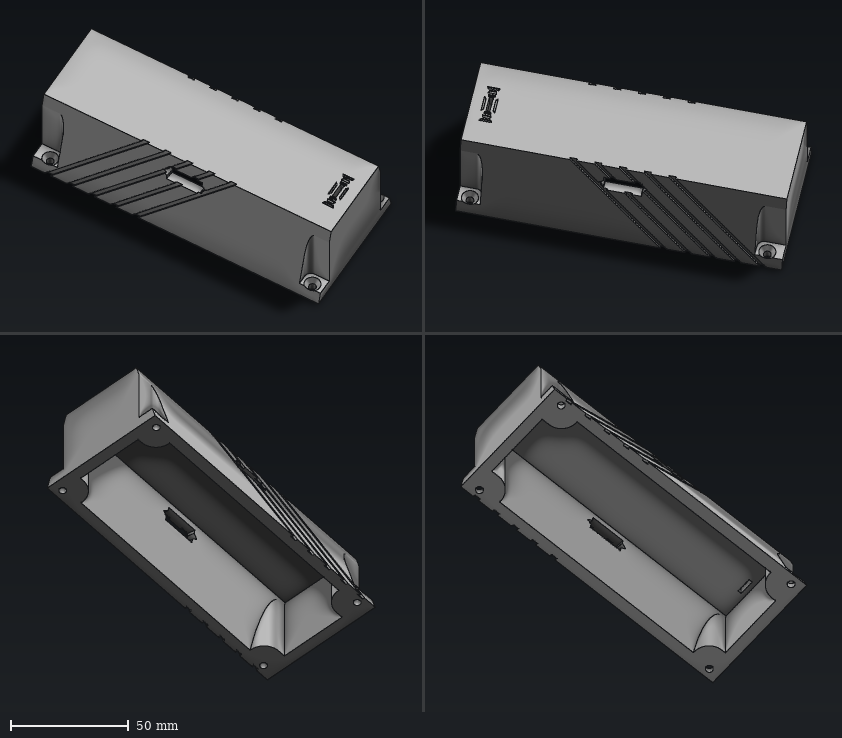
import cadquery as cq
import math

LENGTH = 141.5
BASE_WIDTH = 61.0
TOP_WIDTH = 39.8
HEIGHT = 40.0
WALL = 5.2

NOTCH_FLOOR = 6.0
NOTCH_WALL_Y = 21.5
NOTCH_RADIUS = 3.1
HOLE_TO_NOTCH_END = 5.0
LEFT_HOLE_INSET = 7.1
RIGHT_HOLE_INSET = 5.4
HOLE_Y = 26.5
HOLE_DIAMETER = 3.3
SINK_DIAMETER = 7.2
SINK_ANGLE = 90.0

GROOVE_COUNT = 5
GROOVE_PITCH = 10.8
GROOVE_WIDTH = 2.0
GROOVE_DEPTH = 1.0
GROOVE_ANGLE = 45.0
LAST_GROOVE_TOP_X = 22.0

WINDOW_HALF_LENGTH = 8.3
WINDOW_TIP_X = 10.5
WINDOW_HEIGHT = 6.8
WINDOW_TIP_HEIGHT = 3.4
WINDOW_CENTRE_Z = 30.1

SLOT_X = 62.5
SLOT_WIDTH = 1.7
SLOT_LENGTH = 7.1
RECESS_DEPTH = 0.5
SIDE_RECESS = (2.1, 3.0, 2.5, 3.5)
END_RECESSES = (
    (4.0, 4.8, 1.4, 1.4),
    (5.7, 7.0, 1.8, 1.4),
    (7.6, 8.6, 2.1, 2.7),
)

LEAN = math.atan((BASE_WIDTH - TOP_WIDTH) / 2 / HEIGHT)
SLANT_HEIGHT = HEIGHT / math.cos(LEAN)
WALL_ACROSS = WALL / math.cos(LEAN)
END_X = LENGTH / 2
SIDE_Y = BASE_WIDTH / 2
HOLE_SPOTS = (
    (-1, LEFT_HOLE_INSET),
    (1, RIGHT_HOLE_INSET),
)


def half_width(z):
    return SIDE_Y - z * math.tan(LEAN)


def trapezoid_bar(length, bottom_half, top_half, height):
    profile = [(-bottom_half, 0), (bottom_half, 0), (top_half, height), (-top_half, height)]
    return cq.Workplane("YZ").polyline(profile).close().extrude(length / 2, both=True)


def corner_block(end, side, depth, inner_y, bottom, top, radius):
    """Upright block filling one corner, with its inner vertical edge rounded."""
    width = SIDE_Y - inner_y
    block = (
        cq.Workplane("XY")
        .box(depth, width, top - bottom, centered=(True, True, False))
        .edges("|Z and <X and <Y")
        .fillet(radius)
        .translate((END_X - depth / 2, inner_y + width / 2, bottom))
    )
    if end < 0:
        block = block.mirror("YZ")
    if side < 0:
        block = block.mirror("XZ")
    return block


def side_plane():
    """Plane on the leaning -Y side: origin at the base, local y up the slope, normal outward."""
    normal = (0, -math.cos(LEAN), math.sin(LEAN))
    return cq.Plane(origin=(0, -SIDE_Y, 0), xDir=(1, 0, 0), normal=normal)


def cut_both_sides(body, cutter):
    return body.cut(cutter).cut(cutter.mirror("XZ"))


def make_shell():
    shell = trapezoid_bar(LENGTH, SIDE_Y, TOP_WIDTH / 2, HEIGHT)
    roof_z = HEIGHT - WALL
    cavity = trapezoid_bar(
        LENGTH - 2 * WALL,
        SIDE_Y - WALL_ACROSS,
        half_width(roof_z) - WALL_ACROSS,
        roof_z,
    )
    for end, inset in HOLE_SPOTS:
        depth = inset + HOLE_TO_NOTCH_END + WALL
        for side in (-1, 1):
            post = corner_block(end, side, depth, NOTCH_WALL_Y - WALL, 0, HEIGHT, NOTCH_RADIUS + WALL)
            cavity = cavity.cut(post)
    return shell.cut(cavity)


def cut_corners(body):
    for end, inset in HOLE_SPOTS:
        depth = inset + HOLE_TO_NOTCH_END
        for side in (-1, 1):
            notch = corner_block(
                end, side, depth, NOTCH_WALL_Y, NOTCH_FLOOR, HEIGHT, NOTCH_RADIUS
            )
            body = body.cut(notch)
        hole_x = end * (END_X - inset)
        body = (
            body.copyWorkplane(cq.Workplane("XY", origin=(hole_x, 0, NOTCH_FLOOR)))
            .pushPoints([(0, -HOLE_Y), (0, HOLE_Y)])
            .cskHole(HOLE_DIAMETER, SINK_DIAMETER, SINK_ANGLE, NOTCH_FLOOR)
        )
    return body


def cut_grooves(body):
    angle = math.radians(GROOVE_ANGLE)
    middle_shift = SLANT_HEIGHT / 2 / math.tan(angle)
    groove_length = SLANT_HEIGHT / math.sin(angle) + 4 * GROOVE_WIDTH
    centres = [
        (LAST_GROOVE_TOP_X - middle_shift - i * GROOVE_PITCH, SLANT_HEIGHT / 2)
        for i in range(GROOVE_COUNT)
    ]
    grooves = (
        cq.Workplane(side_plane())
        .pushPoints(centres)
        .slot2D(groove_length, GROOVE_WIDTH, GROOVE_ANGLE)
        .extrude(-GROOVE_DEPTH)
    )
    return cut_both_sides(body, grooves)


def cut_windows(body):
    half_height = WINDOW_HEIGHT / 2
    tip_half = WINDOW_TIP_HEIGHT / 2
    right_side = [
        (WINDOW_HALF_LENGTH, -half_height),
        (WINDOW_HALF_LENGTH, -tip_half),
        (WINDOW_TIP_X, 0),
        (WINDOW_HALF_LENGTH, tip_half),
        (WINDOW_HALF_LENGTH, half_height),
    ]
    left_side = [(-x, y) for x, y in reversed(right_side)]
    window = (
        cq.Workplane(side_plane())
        .center(0, WINDOW_CENTRE_Z / math.cos(LEAN))
        .polyline(right_side + left_side)
        .close()
        .extrude(-2 * WALL)
    )
    return cut_both_sides(body, window)


def recess(near, far, near_half, far_half, turn):
    """Shallow four-sided recess lying off the slot in the direction given by turn."""
    outline = [(near, -near_half), (far, -far_half), (far, far_half), (near, near_half)]
    return (
        cq.Workplane("XY", origin=(SLOT_X, 0, HEIGHT))
        .transformed(rotate=(0, 0, turn))
        .polyline(outline)
        .close()
        .extrude(-RECESS_DEPTH)
    )


def cut_roof(body):
    slot = (
        cq.Workplane("XY", origin=(SLOT_X, 0, HEIGHT))
        .rect(SLOT_WIDTH, SLOT_LENGTH)
        .extrude(-2 * WALL)
    )
    body = body.cut(slot)
    for turn in (0, 180):
        body = body.cut(recess(*SIDE_RECESS, turn))
        for end_recess in END_RECESSES:
            body = body.cut(recess(*end_recess, turn + 90))
    return body


result = make_shell()
result = cut_corners(result)
result = cut_grooves(result)
result = cut_windows(result)
result = cut_roof(result)